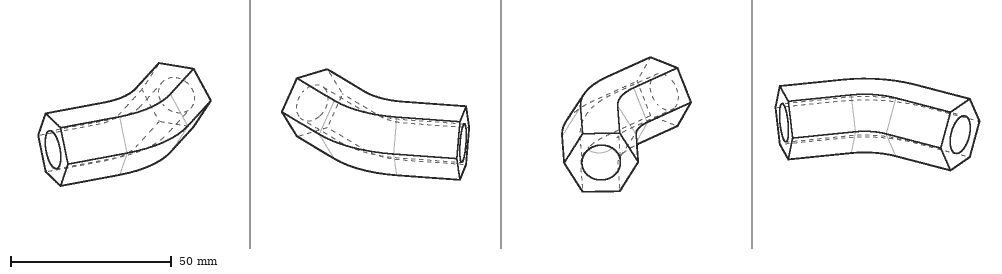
import cadquery as cq
import math

overall_length = 59.4
bore_diameter = 12.0
bend_angle = math.radians(45)

corner_ratio = 1 / math.cos(math.radians(30))
radius_ratio = 0.5 / math.tan(bend_angle / 2)
length_ratio = (
    1
    + (radius_ratio + 1) * math.sin(bend_angle)
    + corner_ratio / 2 * math.sin(bend_angle)
)
across_flats = overall_length / length_ratio
across_corners = across_flats * corner_ratio
leg_length = across_flats
bend_radius = across_flats * radius_ratio


def bend_point(angle):
    """Point on the centreline arc after turning by angle from -Y toward -X."""
    return (
        bend_radius * (math.cos(angle) - 1),
        -bend_radius * math.sin(angle),
    )


bend_end = bend_point(bend_angle)
leg_end = (
    bend_end[0] - leg_length * math.sin(bend_angle),
    bend_end[1] - leg_length * math.cos(bend_angle),
)


def centreline():
    """A new path from the +Y end of the part to its other end."""
    return (
        cq.Workplane("XY")
        .moveTo(0, leg_length)
        .lineTo(0, 0)
        .threePointArc(bend_point(bend_angle / 2), bend_end)
        .lineTo(*leg_end)
    )


def end_plane():
    """A new workplane on the +Y end face, centred on the centreline."""
    return cq.Workplane("XZ", origin=(0, leg_length, 0))


bar = end_plane().polygon(6, across_corners).sweep(centreline())
bore = end_plane().circle(bore_diameter / 2).sweep(centreline())

result = bar.cut(bore)